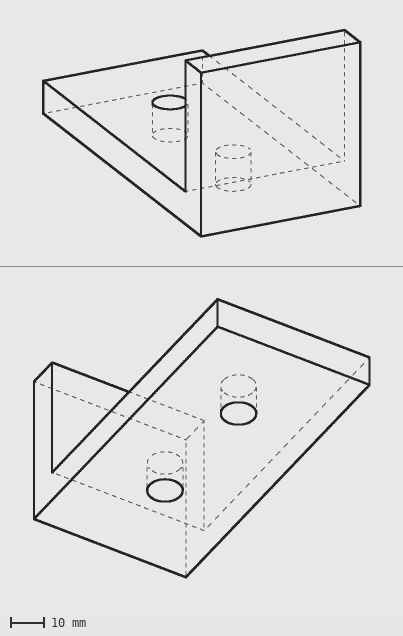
import cadquery as cq

length = 107.2
width = 53.6
height = 53.6
thickness = 10.7
hole_diameter = 10.7
hole_spacing = 42.9

base = cq.Workplane("XY").box(length, width, thickness, centered=(True, True, False))

wall_height = height - thickness
wall = (
    cq.Workplane("XY")
    .box(thickness, width, wall_height, centered=(True, True, False))
    .translate(((length - thickness) / 2, 0, thickness))
)

holes = (
    cq.Workplane("XY")
    .pushPoints([(-hole_spacing / 2, 0), (hole_spacing / 2, 0)])
    .circle(hole_diameter / 2)
    .extrude(thickness)
)

result = base.union(wall).cut(holes)